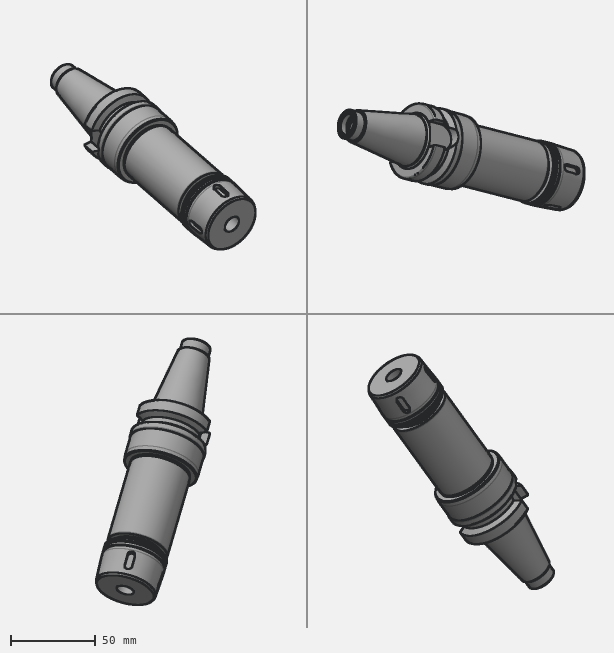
import cadquery as cq
import math


TOTAL_LENGTH = 168.4
GAUGE_X = 48.4
GAUGE_RADIUS = 31.75 / 2
TAPER_RATIO = 7 / 24
PILOT_RADIUS = 17.6 / 2
PILOT_CHAMFER = 0.65
TAPER_START_X = 6.7
TAPER_START_CHAMFER = 0.5
NECK_RADIUS = 30.8 / 2
NECK_CHAMFER_LENGTH = 0.95

FLANGE_OFFSET = 2.0
FLANGE_LENGTH = 20.0
FLANGE_X = GAUGE_X + FLANGE_OFFSET
FLANGE_END_X = FLANGE_X + FLANGE_LENGTH
FLANGE_RADIUS = 46 / 2
FLANGE_FILLET = 1.0
NECK_FILLET = 1.3
RECESS_DEPTH = 0.4
RECESS_FLOOR_RADIUS = NECK_RADIUS + NECK_FILLET
RECESS_MOUTH_RADIUS = RECESS_FLOOR_RADIUS + RECESS_DEPTH
GROOVE_X = 62.0
GROOVE_WIDTH = 8.0
GROOVE_FLOOR_RADIUS = 19.0
GROOVE_WALL_ANGLE = 30.0
FLANGE_END_CHAMFER_LENGTH = 1.0
FLANGE_END_CHAMFER_DROP = 0.15

COLLAR_RADIUS = 22.65
COLLAR_END_X = 85.4
COLLAR_TAPER_X = 82.2
COLLAR_TAPER_DROP = 0.3
COLLAR_CHAMFER = 0.5

BODY_RADIUS = 37 / 2
RELIEF_RADIUS = 36.6 / 2
RELIEF_LENGTH = 0.9
RELIEF_RAMP = 0.5
BODY_END_X = 140.0
BODY_END_CHAMFER_LENGTH = 0.9
BODY_END_CHAMFER_DROP = 0.15
NUT_NECK_RADIUS = 30 / 2

NUT_X = 143.1
NUT_RADIUS = 38.4 / 2
NUT_CHAMFER = 0.5
NUT_TAPER_X = 150.8
NUT_NOSE_RADIUS = 36.8 / 2
NUT_NOSE_X = 166.9
NUT_FACE_RADIUS = 17.6
RIM_GROOVES = ((145.6, 1.0), (148.4, 0.5))
RIM_GROOVE_DEPTH = 0.5

SLOT_COUNT = 4
SLOT_MIDDLE_X = 157.6
SLOT_LENGTH = 11.7
SLOT_WIDTH = 4.5
SLOT_FLOOR_RADIUS = 16.3

KEYWAY_WIDTH = 16.1
KEYWAY_END_X = 67.1
KEYWAY_FLOOR_RADIUS = 16.3

BORE_RADIUS = 10.5 / 2
STEP_BORE_RADIUS = 12 / 2
STEP_BORE_LENGTH = 1.0
PILOT_BORE_RADIUS = 12.5 / 2
PILOT_BORE_DEPTH = 5.0
MOUTH_RADIUS = 14.0 / 2


def taper_radius(x):
    """Radius of the 7/24 taper at a position along the axis."""
    return GAUGE_RADIUS - (GAUGE_X - x) * TAPER_RATIO / 2


def revolve_profile(points):
    """Solid of revolution about X from an (x, radius) outline that closes along the axis."""
    outline = [(points[0][0], 0)] + points + [(points[-1][0], 0)]
    return cq.Workplane("XY").polyline(outline).close().revolve(360, (0, 0, 0), (1, 0, 0))


def make_shank():
    taper_full_x = TAPER_START_X + TAPER_START_CHAMFER
    return revolve_profile([
        (0, PILOT_RADIUS - PILOT_CHAMFER),
        (PILOT_CHAMFER, PILOT_RADIUS),
        (TAPER_START_X, PILOT_RADIUS),
        (TAPER_START_X, taper_radius(taper_full_x) - TAPER_START_CHAMFER),
        (taper_full_x, taper_radius(taper_full_x)),
        (GAUGE_X, GAUGE_RADIUS),
        (GAUGE_X + NECK_CHAMFER_LENGTH, NECK_RADIUS),
        (FLANGE_X + RECESS_DEPTH, NECK_RADIUS),
    ])


def make_flange_and_collar():
    half_mouth = GROOVE_WIDTH / 2
    wall_run = (FLANGE_RADIUS - GROOVE_FLOOR_RADIUS) * math.tan(math.radians(GROOVE_WALL_ANGLE))
    half_floor = half_mouth - wall_run
    collar_edge = COLLAR_RADIUS - COLLAR_TAPER_DROP
    flange = revolve_profile([
        (FLANGE_X, FLANGE_RADIUS),
        (GROOVE_X - half_mouth, FLANGE_RADIUS),
        (GROOVE_X - half_floor, GROOVE_FLOOR_RADIUS),
        (GROOVE_X + half_floor, GROOVE_FLOOR_RADIUS),
        (GROOVE_X + half_mouth, FLANGE_RADIUS),
        (FLANGE_END_X - FLANGE_END_CHAMFER_LENGTH, FLANGE_RADIUS),
        (FLANGE_END_X, FLANGE_RADIUS - FLANGE_END_CHAMFER_DROP),
        (FLANGE_END_X, COLLAR_RADIUS),
        (COLLAR_TAPER_X, COLLAR_RADIUS),
        (COLLAR_END_X - COLLAR_CHAMFER, collar_edge),
        (COLLAR_END_X, collar_edge - COLLAR_CHAMFER),
    ])
    flange = flange.faces("<X").edges().fillet(FLANGE_FILLET)
    return flange.cut(neck_recess())


def neck_recess():
    """Shallow round recess in the flange face with a 45 degree wall; the neck fills its middle."""
    floor_x = FLANGE_X + RECESS_DEPTH
    return revolve_profile([
        (FLANGE_X, RECESS_MOUTH_RADIUS),
        (floor_x, RECESS_FLOOR_RADIUS),
    ])


def make_neck_fillet():
    """Ring with a concave quarter-round that blends the neck into the recess."""
    floor_x = FLANGE_X + RECESS_DEPTH
    arc_offset = NECK_FILLET * (1 - math.sqrt(0.5))
    section = (
        cq.Workplane("XY")
        .moveTo(floor_x, NECK_RADIUS)
        .lineTo(floor_x - NECK_FILLET, NECK_RADIUS)
        .threePointArc(
            (floor_x - arc_offset, NECK_RADIUS + arc_offset),
            (floor_x, RECESS_FLOOR_RADIUS),
        )
    )
    return section.close().revolve(360, (0, 0, 0), (1, 0, 0))


def make_body():
    relief_end_x = COLLAR_END_X + RELIEF_LENGTH
    return revolve_profile([
        (COLLAR_END_X, RELIEF_RADIUS),
        (relief_end_x, RELIEF_RADIUS),
        (relief_end_x + RELIEF_RAMP, BODY_RADIUS),
        (BODY_END_X - BODY_END_CHAMFER_LENGTH, BODY_RADIUS),
        (BODY_END_X, BODY_RADIUS - BODY_END_CHAMFER_DROP),
        (BODY_END_X, NUT_NECK_RADIUS),
        (NUT_X, NUT_NECK_RADIUS),
    ])


def make_nut():
    nut = revolve_profile([
        (NUT_X, NUT_RADIUS - NUT_CHAMFER),
        (NUT_X + NUT_CHAMFER, NUT_RADIUS),
        (NUT_TAPER_X, NUT_RADIUS),
        (NUT_NOSE_X, NUT_NOSE_RADIUS),
        (TOTAL_LENGTH, NUT_FACE_RADIUS),
    ])
    for middle_x, width in RIM_GROOVES:
        nut = nut.cut(rim_groove(middle_x, width))
    return nut


def rim_groove(middle_x, width):
    """V-shaped ring that cuts a fine groove into the nut's rim."""
    section = cq.Workplane("XY").polyline([
        (middle_x - width / 2, NUT_RADIUS),
        (middle_x, NUT_RADIUS - RIM_GROOVE_DEPTH),
        (middle_x + width / 2, NUT_RADIUS),
    ])
    return section.close().revolve(360, (0, 0, 0), (1, 0, 0))


def wrench_slots():
    """Round-ended slots spaced evenly around the nut, with flat floors."""
    slot = (
        cq.Workplane("XY", origin=(SLOT_MIDDLE_X, 0, SLOT_FLOOR_RADIUS))
        .slot2D(SLOT_LENGTH, SLOT_WIDTH)
        .extrude(NUT_RADIUS - SLOT_FLOOR_RADIUS)
    )
    slots = cq.Workplane("XY")
    for index in range(SLOT_COUNT):
        slots = slots.add(slot.rotate((0, 0, 0), (1, 0, 0), index * 360 / SLOT_COUNT))
    return slots.combine()


def drive_keyways():
    """Two opposite keyways, open toward the taper and round at the far end."""
    round_radius = KEYWAY_WIDTH / 2
    round_x = KEYWAY_END_X - round_radius
    keyway = (
        cq.Workplane("XZ", origin=(0, -KEYWAY_FLOOR_RADIUS, 0))
        .moveTo(FLANGE_X, -round_radius)
        .lineTo(round_x, -round_radius)
        .threePointArc((KEYWAY_END_X, 0), (round_x, round_radius))
        .lineTo(FLANGE_X, round_radius)
        .close()
        .extrude(FLANGE_RADIUS - KEYWAY_FLOOR_RADIUS)
    )
    return keyway.union(keyway.mirror("XZ"))


def bore():
    """Through bore, opened at the taper end by a countersunk pilot bore and a smaller step."""
    step_end_x = PILOT_BORE_DEPTH + STEP_BORE_LENGTH
    mouth_chamfer = MOUTH_RADIUS - PILOT_BORE_RADIUS
    return revolve_profile([
        (0, MOUTH_RADIUS),
        (mouth_chamfer, PILOT_BORE_RADIUS),
        (PILOT_BORE_DEPTH, PILOT_BORE_RADIUS),
        (PILOT_BORE_DEPTH, STEP_BORE_RADIUS),
        (step_end_x, STEP_BORE_RADIUS),
        (step_end_x + STEP_BORE_RADIUS - BORE_RADIUS, BORE_RADIUS),
        (TOTAL_LENGTH, BORE_RADIUS),
    ])


result = (
    make_flange_and_collar()
    .union(make_shank())
    .union(make_neck_fillet())
    .union(make_body())
    .union(make_nut())
    .cut(drive_keyways())
    .cut(wrench_slots())
    .cut(bore())
)